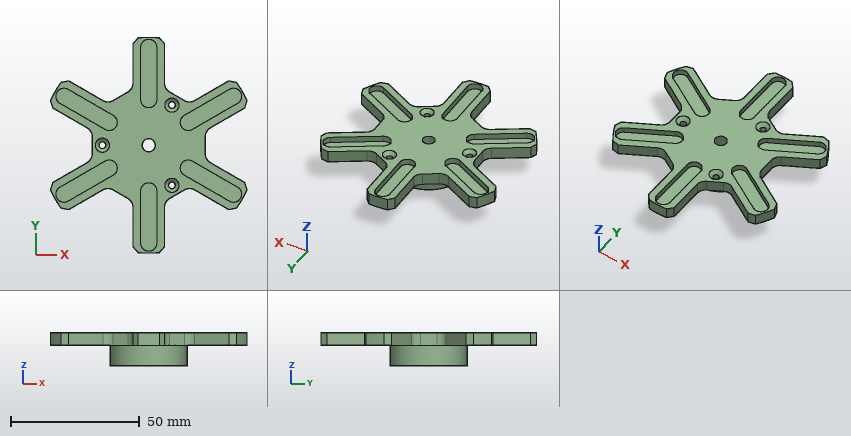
import cadquery as cq
import math

ARM_COUNT = 6
TIP_RADIUS = 42.0
PLATE_THICKNESS = 5.0
HUB_APOTHEM = 22.0
BOSS_DIAMETER = 30.0
BOSS_HEIGHT = 8.0
CENTRE_HOLE_DIAMETER = 5.0

POCKET_WIDTH = 6.3
POCKET_INNER_RADIUS = 14.6
POCKET_OUTER_RADIUS = 41.2
POCKET_DEPTH = 2.5
POCKET_SIDE_WALL = 3.0
ARM_WIDTH = POCKET_WIDTH + 2 * POCKET_SIDE_WALL
TIP_CHAMFER = 2.06
ROOT_FILLET = 4.0

SCREW_COUNT = 3
SCREW_CIRCLE_RADIUS = 18.0
SCREW_START_ANGLE = 180.0
SCREW_DIAMETER = 2.5
COUNTERSINK_DIAMETER = 5.5
COUNTERSINK_ANGLE = 90.0

FULL_TURN = 360.0
MATCH_TOLERANCE = 0.01
ARM_PITCH = FULL_TURN / ARM_COUNT
FIRST_ARM_ANGLE = 90.0
ARM_ANGLES = [FIRST_ARM_ANGLE + i * ARM_PITCH for i in range(ARM_COUNT)]


def make_arm():
    """Arm along +X with a round tip and two bevelled tip corners."""
    half_width = ARM_WIDTH / 2
    tip_half_width = half_width - TIP_CHAMFER
    tip_x = math.sqrt(TIP_RADIUS**2 - tip_half_width**2)
    side_end_x = math.sqrt(TIP_RADIUS**2 - half_width**2) - TIP_CHAMFER
    return (
        cq.Workplane("XY")
        .moveTo(0, -half_width)
        .lineTo(side_end_x, -half_width)
        .lineTo(tip_x, -tip_half_width)
        .threePointArc((TIP_RADIUS, 0), (tip_x, tip_half_width))
        .lineTo(side_end_x, half_width)
        .lineTo(0, half_width)
        .close()
        .extrude(PLATE_THICKNESS)
    )


def make_plate():
    """Hexagonal middle with an arm at each corner and rounded arm roots."""
    corner_diameter = 2 * HUB_APOTHEM / math.cos(math.radians(ARM_PITCH / 2))
    plate = (
        cq.Workplane("XY")
        .polygon(ARM_COUNT, corner_diameter)
        .extrude(PLATE_THICKNESS)
        .rotate((0, 0, 0), (0, 0, 1), FIRST_ARM_ANGLE)
    )
    arm = make_arm()
    for angle in ARM_ANGLES:
        plate = plate.union(arm.rotate((0, 0, 0), (0, 0, 1), angle))

    half_pitch = math.radians(ARM_PITCH / 2)
    root_offset = HUB_APOTHEM * math.tan(half_pitch) - ARM_WIDTH / 2 / math.cos(half_pitch)
    root_radius = math.hypot(HUB_APOTHEM, root_offset)

    def is_root(edge):
        centre = edge.Center()
        return abs(math.hypot(centre.x, centre.y) - root_radius) < MATCH_TOLERANCE

    return plate.edges("|Z").filter(is_root).fillet(ROOT_FILLET)


def cut_pockets(body):
    """Round-ended pocket in the top of every arm."""
    pocket_length = POCKET_OUTER_RADIUS - POCKET_INNER_RADIUS
    pocket_centre = (POCKET_OUTER_RADIUS + POCKET_INNER_RADIUS) / 2
    pocket = (
        cq.Workplane("XY")
        .workplane(offset=PLATE_THICKNESS - POCKET_DEPTH)
        .center(pocket_centre, 0)
        .slot2D(pocket_length, POCKET_WIDTH)
        .extrude(POCKET_DEPTH)
    )
    for angle in ARM_ANGLES:
        body = body.cut(pocket.rotate((0, 0, 0), (0, 0, 1), angle))
    return body


def cut_screw_holes(body):
    """Countersunk through holes, evenly spaced around the boss."""
    return (
        body.faces(">Z")
        .workplane(origin=(0, 0, PLATE_THICKNESS))
        .polarArray(SCREW_CIRCLE_RADIUS, SCREW_START_ANGLE, FULL_TURN, SCREW_COUNT)
        .cskHole(SCREW_DIAMETER, COUNTERSINK_DIAMETER, COUNTERSINK_ANGLE)
    )


def add_boss(body):
    """Round boss below the plate, with the centre hole through both."""
    boss = cq.Workplane("XY").circle(BOSS_DIAMETER / 2).extrude(-BOSS_HEIGHT)
    return (
        body.union(boss)
        .faces(">Z")
        .workplane(origin=(0, 0, PLATE_THICKNESS))
        .hole(CENTRE_HOLE_DIAMETER)
    )


result = add_boss(cut_screw_holes(cut_pockets(make_plate())))